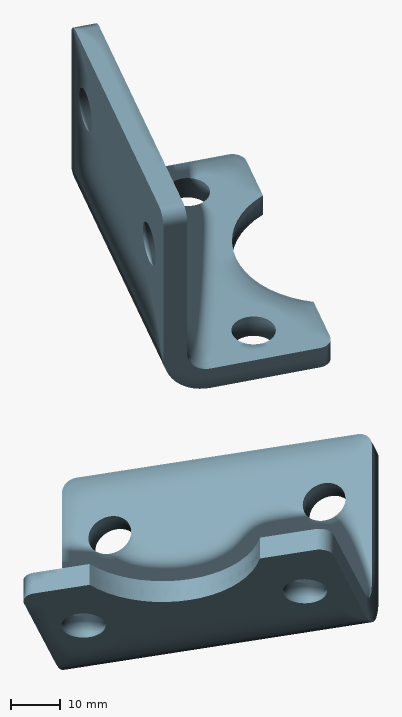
import cadquery as cq

width = 65.0
depth = 36.0
height = 47.0
thickness = 5.0
inner_bend_radius = 5.0
outer_bend_radius = inner_bend_radius + thickness
corner_radius = 3.0

hole_diameter = 9.0
upright_hole_spacing = 45.0
upright_hole_height = 32.0
foot_hole_spacing = 46.5
foot_hole_depth = 21.8

notch_radius = 20.0
notch_floor = 25.0
notch_center = notch_floor + notch_radius


def bent_plate():
    """L-shaped plate, centred on X, with the upright's outer face at Y = 0."""
    outline = (
        cq.Workplane("YZ")
        .polyline([
            (0, 0),
            (depth, 0),
            (depth, thickness),
            (thickness, thickness),
            (thickness, height),
            (0, height),
        ])
        .close()
    )
    plate = outline.extrude(width / 2, both=True)
    inner_edge = cq.selectors.NearestToPointSelector((0, thickness, thickness))
    outer_edge = cq.selectors.NearestToPointSelector((0, 0, 0))
    plate = plate.edges(inner_edge).fillet(inner_bend_radius)
    return plate.edges(outer_edge).fillet(outer_bend_radius)


def round_free_corners(plate):
    """Round the two end corners of the upright and of the foot."""
    plate = plate.faces(">Z").edges("|Y").fillet(corner_radius)
    return plate.faces(">Y").edges("|Z").fillet(corner_radius)


def hole_pair(plane, spacing, distance, length):
    """Two cylinders mirrored about X = 0, running from the plane along its normal."""
    half_spacing = spacing / 2
    return (
        cq.Workplane(plane)
        .pushPoints([(-half_spacing, distance), (half_spacing, distance)])
        .circle(hole_diameter / 2)
        .extrude(length)
    )


upright_holes = hole_pair("XZ", upright_hole_spacing, upright_hole_height, -thickness)
foot_holes = hole_pair("XY", foot_hole_spacing, foot_hole_depth, thickness)
notch = cq.Workplane("XY").center(0, notch_center).circle(notch_radius).extrude(thickness)

result = round_free_corners(bent_plate()).cut(upright_holes).cut(foot_holes).cut(notch)